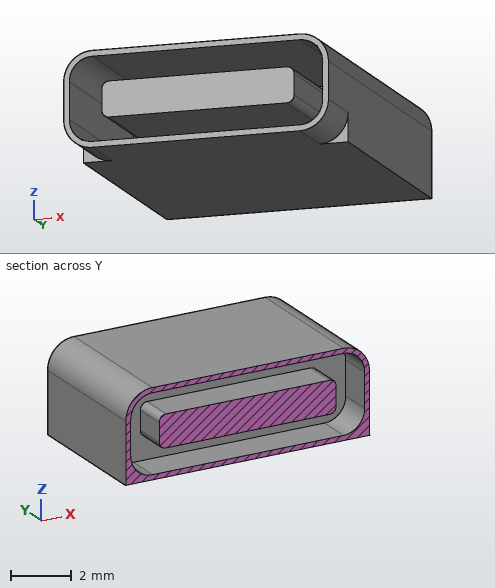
import cadquery as cq

width = 9.2
length = 10.5
height = 3.28
corner_radius = 1.0
wall = 0.2

rounded_front_length = 2.0

cavity_depth = 6.51
tongue_width = 6.68
tongue_height = 1.22
tongue_radius = 0.25
tongue_recess = 0.2

front_y = -length / 2
back_y = length / 2


def rounded_bar(bar_width, bar_height, radius, start_y, end_y):
    """Bar along Y, centred on the Y axis, with its four long edges rounded."""
    bar = cq.Workplane("XY").box(bar_width, end_y - start_y, bar_height)
    return bar.edges("|Y").fillet(radius).translate((0, (start_y + end_y) / 2, 0))


def square_base():
    """Lower half of the rear stretch, filling out its square bottom corners."""
    base_length = length - rounded_front_length
    base = cq.Workplane("XY").box(width, base_length, height / 2)
    return base.translate((0, back_y - base_length / 2, -height / 4))


shell = rounded_bar(width, height, corner_radius, front_y, back_y)
cavity_end_y = front_y + cavity_depth
cavity = rounded_bar(
    width - 2 * wall, height - 2 * wall, corner_radius - wall, front_y, cavity_end_y
)
tongue = rounded_bar(
    tongue_width, tongue_height, tongue_radius, front_y + tongue_recess, back_y
)

result = shell.union(square_base()).cut(cavity).union(tongue).clean()